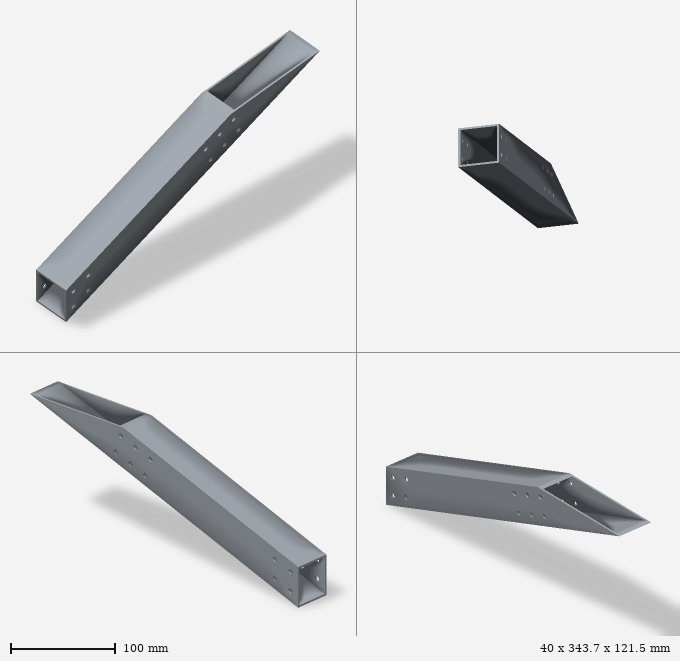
import math

import cadquery as cq

tube_side = 40.0
wall = 2.0
run = 343.65
slope = math.asin(1 / 3)
rise = run * math.tan(slope)
floor_length = run / math.cos(slope)

end_height = tube_side / math.cos(slope)
mouth_length = tube_side / math.sin(slope)

hole_diameter = 5.1
hole_pitch = 20.0
near_hole_inset = 10.0
near_hole_drop = 0.2
near_columns = 2
far_columns = 3

mouth_start = run - mouth_length


def tube_profile():
    """Outer side outline in the YZ plane."""
    return [(0, 0), (run, rise), (mouth_start, rise), (0, end_height)]


def along_tube(distance, height):
    """Y and Z of a point given along the tube and square to its bottom face."""
    y = distance * math.cos(slope) - height * math.sin(slope)
    z = distance * math.sin(slope) + height * math.cos(slope)
    return y, z


def bore():
    """Square inner passage, running out past both ends of the tube."""
    overrun = mouth_length
    start = -overrun
    end = floor_length + overrun
    corners = [
        along_tube(start, wall),
        along_tube(end, wall),
        along_tube(end, tube_side - wall),
        along_tube(start, tube_side - wall),
    ]
    inner_width = tube_side - 2 * wall
    return cq.Workplane("YZ").polyline(corners).close().extrude(inner_width / 2, both=True)


def near_hole_centres():
    """Two upright pairs beside the vertical end, following the tube's middle line."""
    centres = []
    for column in range(near_columns):
        y = near_hole_inset + column * hole_pitch
        middle_z = end_height / 2 + y * math.tan(slope) - near_hole_drop
        for side in (-1, 1):
            centres.append((y, middle_z + side * hole_pitch / 2))
    return centres


def far_hole_centres():
    """Pairs square to the tube; the last pair is level with the start of the mouth."""
    last_column = floor_length - tube_side / math.tan(slope)
    centres = []
    for column in range(far_columns):
        distance = last_column - column * hole_pitch
        for side in (-1, 1):
            centres.append(along_tube(distance, tube_side / 2 + side * hole_pitch / 2))
    return centres


def cross_holes():
    """Holes through both side walls."""
    centres = near_hole_centres() + far_hole_centres()
    return cq.Workplane("YZ").pushPoints(centres).circle(hole_diameter / 2).extrude(tube_side, both=True)


outer = cq.Workplane("YZ").polyline(tube_profile()).close().extrude(tube_side / 2, both=True)
result = outer.cut(bore()).cut(cross_holes())